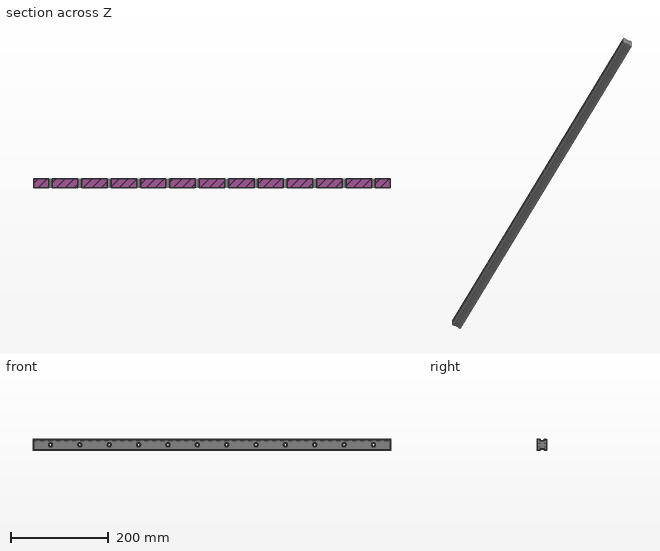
import cadquery as cq

LENGTH = 730.0
HEIGHT = 20.0
WIDTH = 23.0
HALF_WIDTH = WIDTH / 2

WAIST_HALF_WIDTH = 8.8
NECK_HALF_WIDTH = 9.2
CROWN_STEP_HALF_WIDTH = 10.7
CROWN_HALF_WIDTH = 9.9

BASE_CHAMFER = 1.2
BASE_TOP = 5.4
WAIST_BOTTOM = 6.9
WAIST_TOP = 13.5
NECK_LEVEL = 14.5
LIP_BOTTOM = 15.5
LIP_TOP = 17.7
CROWN_STEP_LEVEL = 18.3

HOLE_DIAMETER = 7.0
HOLE_PITCH = 60.0
HOLE_COUNT = 12


def rail_body():
    """Extrude the waisted cross-section along X, centred on the origin."""
    half_section = [
        (0, HALF_WIDTH - BASE_CHAMFER),
        (BASE_CHAMFER, HALF_WIDTH),
        (BASE_TOP, HALF_WIDTH),
        (WAIST_BOTTOM, WAIST_HALF_WIDTH),
        (WAIST_TOP, WAIST_HALF_WIDTH),
        (NECK_LEVEL, NECK_HALF_WIDTH),
        (LIP_BOTTOM, HALF_WIDTH),
        (LIP_TOP, HALF_WIDTH),
        (CROWN_STEP_LEVEL, CROWN_STEP_HALF_WIDTH),
        (HEIGHT, CROWN_HALF_WIDTH),
    ]
    upper_side = [(level - HEIGHT / 2, half_width) for level, half_width in half_section]
    lower_side = [(y, -z) for y, z in reversed(upper_side)]
    section = cq.Workplane("YZ").polyline(upper_side + lower_side).close()
    return section.extrude(LENGTH / 2, both=True)


def mounting_holes():
    """Row of plain cylinders along X, each long enough to pass through the rail in Y."""
    row = cq.Workplane("XZ").rarray(HOLE_PITCH, 1, HOLE_COUNT, 1)
    return row.circle(HOLE_DIAMETER / 2).extrude(HEIGHT, both=True)


result = rail_body().cut(mounting_holes())